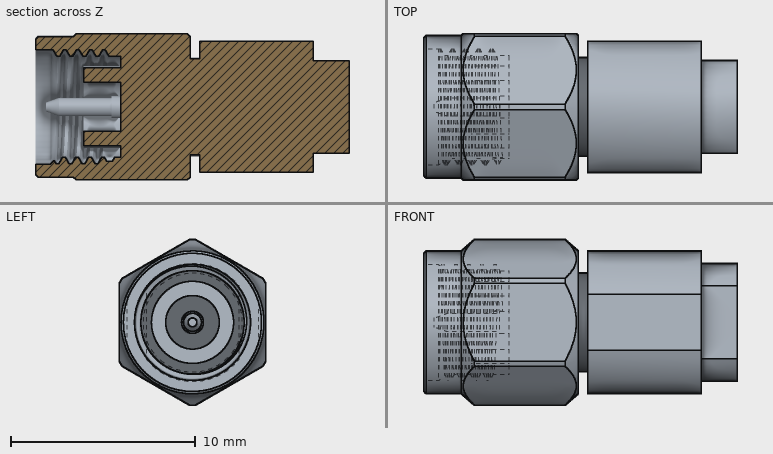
import cadquery as cq
import math


nut_collar_radius = 3.875
nut_collar_length = 2.03
nut_face_chamfer = 0.13
nut_end = 8.38
hex_sides = 6
hex_across_flats = 7.94
hex_corner_radius = 4.5
hex_bevel_length = 0.72

body_start = 8.88
body_end = 15.05
rear_end = 16.99
neck_radius = 2.685
body_radius = 3.875
body_across_flats = 7.13
rear_radius = 3.2
rear_across_flats = 5.03

socket_entry_radius = 3.15
socket_entry_depth = 0.8
socket_depth = 4.6
thread_minor_radius = 2.8

inch = 25.4
threads_per_inch = 36
thread_pitch = inch / threads_per_inch
thread_flank_angle = 30
thread_root_radius = 3.14
thread_crest_width = thread_pitch / 4
thread_start_depth = 0.3
thread_start_angle = 170
thread_end_depth = 4.0
thread_cutter_overlap = 0.1

sleeve_outer_radius = 2.226
sleeve_bore_radius = 1.453
sleeve_face_depth = 2.58
pin_radius = 0.49
pin_tip_radius = 0.24
pin_tip_depth = 0.55
pin_taper_end_depth = 1.25
pin_shoulder_radius = 0.597
pin_shoulder_length = 0.5


def cylinder(start, end, radius):
    """Cylinder about the X axis."""
    return cq.Workplane("YZ").workplane(offset=start).circle(radius).extrude(end - start)


def turned(profile):
    """Solid of revolution about X from (depth, radius) points."""
    return cq.Workplane("XY").polyline(profile).close().revolve(360, (0, 0, 0), (1, 0, 0))


def flatted_cylinder(start, end, radius, across_flats):
    """Cylinder about X with two opposite flats facing +Y and -Y."""
    length = end - start
    slab = cq.Workplane("YZ").workplane(offset=start).rect(across_flats, 2 * radius).extrude(length)
    return cylinder(start, end, radius).intersect(slab)


def make_nut():
    """Round collar and bevelled hexagon with corners up and down."""
    collar = cylinder(0, nut_collar_length, nut_collar_radius).faces("<X").chamfer(nut_face_chamfer)
    hex_circumscribed_diameter = hex_across_flats / math.cos(math.pi / hex_sides)
    hexagon = (
        cq.Workplane("YZ")
        .workplane(offset=nut_collar_length)
        .transformed(rotate=(0, 0, 90))
        .polygon(hex_sides, hex_circumscribed_diameter)
        .extrude(nut_end - nut_collar_length)
    )
    bevelled_envelope = turned([
        (nut_collar_length, 0),
        (nut_collar_length, nut_collar_radius),
        (nut_collar_length + hex_bevel_length, hex_corner_radius),
        (nut_end - hex_bevel_length, hex_corner_radius),
        (nut_end, nut_collar_radius),
        (nut_end, 0),
    ])
    return collar.union(hexagon.intersect(bevelled_envelope))


def make_socket():
    """Void of the nut: wide entry, 45 degree lead-in and thread minor bore."""
    lead_in_end = socket_entry_depth + socket_entry_radius - thread_minor_radius
    return turned([
        (0, 0),
        (0, socket_entry_radius),
        (socket_entry_depth, socket_entry_radius),
        (lead_in_end, thread_minor_radius),
        (socket_depth, thread_minor_radius),
        (socket_depth, 0),
    ])


def make_thread_groove():
    """Right-hand helical groove, built about Z and then laid along X."""
    flank_slope = math.tan(math.radians(thread_flank_angle))
    inner_radius = thread_minor_radius - thread_cutter_overlap
    half_mouth = (thread_pitch - thread_crest_width) / 2
    half_inner = half_mouth + thread_cutter_overlap * flank_slope
    half_root = half_mouth - (thread_root_radius - thread_minor_radius) * flank_slope
    helix = cq.Wire.makeHelix(thread_pitch, thread_end_depth - thread_start_depth, thread_minor_radius)
    groove = (
        cq.Workplane("XZ")
        .polyline([
            (inner_radius, -half_inner),
            (thread_root_radius, -half_root),
            (thread_root_radius, half_root),
            (inner_radius, half_inner),
        ])
        .close()
        .sweep(cq.Workplane(obj=helix), isFrenet=True)
    )
    return (
        groove.translate((0, 0, thread_start_depth))
        .rotate((0, 0, 0), (0, 1, 0), 90)
        .rotate((0, 0, 0), (1, 0, 0), thread_start_angle)
    )


def make_contact_sleeve():
    """Outer contact ring standing on the socket floor."""
    sleeve = cylinder(sleeve_face_depth, socket_depth, sleeve_outer_radius)
    return sleeve.cut(cylinder(sleeve_face_depth, socket_depth, sleeve_bore_radius))


def make_pin():
    """Tapered centre pin with a shoulder at the socket floor."""
    shoulder_face = socket_depth - pin_shoulder_length
    return turned([
        (pin_tip_depth, 0),
        (pin_tip_depth, pin_tip_radius),
        (pin_taper_end_depth, pin_radius),
        (shoulder_face, pin_radius),
        (shoulder_face, pin_shoulder_radius),
        (socket_depth, pin_shoulder_radius),
        (socket_depth, 0),
    ])


neck = cylinder(nut_end, body_start, neck_radius)
body = flatted_cylinder(body_start, body_end, body_radius, body_across_flats)
rear_ferrule = flatted_cylinder(body_end, rear_end, rear_radius, rear_across_flats)

threaded_nut = make_nut().cut(make_socket()).cut(make_thread_groove())
result = threaded_nut.union(make_contact_sleeve()).union(make_pin())
result = result.union(neck).union(body).union(rear_ferrule)